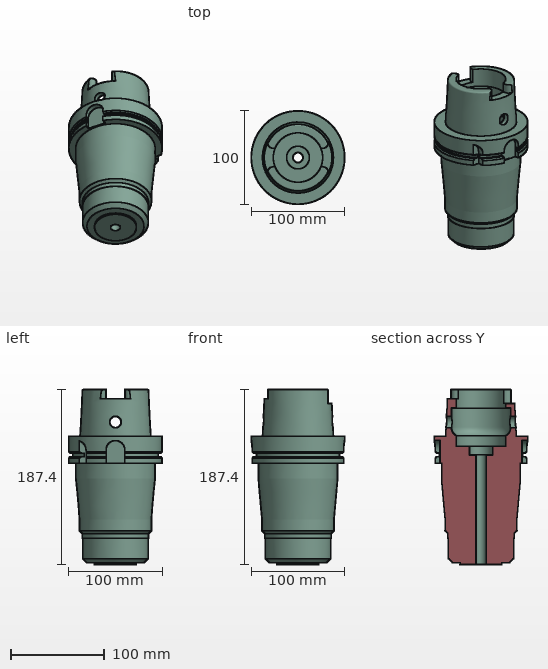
import cadquery as cq
import math

total_height = 187.4
shank_length = 50.0
flange_top = total_height - shank_length
flange_thickness = 29.0
flange_bottom = flange_top - flange_thickness
flange_radius = 50.0

groove_radius = 46.0
groove_top = 119.4
groove_bottom = 115.6
groove_bevel_width = 1.7
groove_upper_bevel_height = 1.3
groove_lower_bevel_height = 1.7

shank_base_radius = 38.0
shank_taper = 1 / 20
shank_tip_radius = shank_base_radius - shank_length * shank_taper
rim_round = 1.9

neck_radius = 42.5
neck_bottom = 92.2
barrel_radius = 38.6
barrel_top = 48.2
barrel_bevel_top = 36.2
collar_radius = 35.6
collar_top = barrel_bevel_top - (barrel_radius - collar_radius)
collar_bottom = 28.1
nose_radius = 35.2
nose_chamfer = 4.7
boss_radius = 22.5
boss_height = 1.9

bore_radius = 26.5
bore_depth = 20.0
undercut_radius = 31.5
undercut_wall_end_depth = 40.7
undercut_blend_radius = 10.0
cup_depth = 60.7
cup_floor = total_height - cup_depth
well_radius = 12.2
well_depth = 9.4
through_radius = 5.2

slot_width = 20.0
lobe_half_length = 32.2
lobe_corner_radius = 5.2
left_slot_depth = 9.7
right_slot_depth = 15.0

cross_hole_radius = 6.0
cross_hole_depth = 34.9
cross_hole_height = total_height - cross_hole_depth

keyway_width = 20.0
keyway_top_gap = 4.7
keyway_top = flange_top - keyway_top_gap
keyway_floor = 44.0
notch_floor = 31.7
notch_wall = 31.5


def revolve_profile(points):
    """Solid of revolution about Z from (radius, height) points."""
    return cq.Workplane("XZ").polyline(points).close().revolve(360, (0, 0, 0), (0, 1, 0))


def make_body():
    bevel_radius = flange_radius - groove_bevel_width
    body = revolve_profile([
        (0, 0),
        (boss_radius, 0),
        (boss_radius, boss_height),
        (nose_radius - nose_chamfer, boss_height),
        (nose_radius, boss_height + nose_chamfer),
        (nose_radius, collar_bottom),
        (collar_radius, collar_bottom),
        (collar_radius, collar_top),
        (barrel_radius, barrel_bevel_top),
        (barrel_radius, barrel_top),
        (neck_radius, neck_bottom),
        (neck_radius, flange_bottom),
        (flange_radius, flange_bottom),
        (flange_radius, groove_bottom - groove_lower_bevel_height),
        (bevel_radius, groove_bottom),
        (groove_radius, groove_bottom),
        (groove_radius, groove_top),
        (bevel_radius, groove_top),
        (flange_radius, groove_top + groove_upper_bevel_height),
        (flange_radius, flange_top),
        (shank_base_radius, flange_top),
        (shank_tip_radius, total_height),
        (0, total_height),
    ])
    return body.faces(">Z").edges().fillet(rim_round)


def make_bore():
    """Undercut cup, well in its floor and the hole through the nose."""
    undercut_top = total_height - bore_depth
    wall_end = total_height - undercut_wall_end_depth
    blend_center = undercut_radius - undercut_blend_radius
    blend_sweep = math.acos((bore_radius - blend_center) / undercut_blend_radius)

    def blend_point(angle):
        return (
            blend_center + undercut_blend_radius * math.cos(angle),
            wall_end - undercut_blend_radius * math.sin(angle),
        )

    well_floor = cup_floor - well_depth
    return (
        cq.Workplane("XZ")
        .lineTo(through_radius, 0)
        .lineTo(through_radius, well_floor)
        .lineTo(well_radius, well_floor)
        .lineTo(well_radius, cup_floor)
        .lineTo(bore_radius, cup_floor)
        .lineTo(*blend_point(blend_sweep))
        .threePointArc(blend_point(blend_sweep / 2), blend_point(0))
        .lineTo(undercut_radius, undercut_top)
        .lineTo(bore_radius, undercut_top)
        .lineTo(bore_radius, total_height)
        .lineTo(0, total_height)
        .close()
        .revolve(360, (0, 0, 0), (0, 1, 0))
    )


def make_drive_slot(side, depth):
    """Cutter for one rim slot; side is -1 or +1 along X."""
    reach = flange_radius
    floor = total_height - depth
    block = cq.Workplane("XY", origin=(side * reach / 2, 0, floor)).rect(reach, 2 * reach).extrude(depth)
    lobe_width = reach - slot_width / 2
    for y_side in (-1, 1):
        lobe_center = y_side * (slot_width + lobe_width) / 2
        lobe = (
            cq.Workplane("XY", origin=(0, lobe_center, floor))
            .rect(2 * lobe_half_length, lobe_width)
            .extrude(depth)
            .edges("|Z")
            .fillet(lobe_corner_radius)
        )
        block = block.cut(lobe)
    return block


def make_keyway(floor_x, center_y):
    """Round-topped cutter running outward along X from the floor plane."""
    radius = keyway_width / 2
    arch_height = keyway_top - radius
    outward = math.copysign(flange_radius, floor_x)
    return (
        cq.Workplane("YZ", origin=(floor_x, center_y, 0))
        .moveTo(-radius, flange_bottom)
        .lineTo(-radius, arch_height)
        .threePointArc((0, keyway_top), (radius, arch_height))
        .lineTo(radius, flange_bottom)
        .close()
        .extrude(outward)
    )


def make_cross_hole():
    return (
        cq.Workplane("YZ", origin=(0, 0, cross_hole_height))
        .circle(cross_hole_radius)
        .extrude(flange_radius, both=True)
    )


result = make_body().cut(make_bore())
result = result.cut(make_drive_slot(-1, left_slot_depth))
result = result.cut(make_drive_slot(1, right_slot_depth))
result = result.cut(make_cross_hole())

for keyway_side in (-1, 1):
    result = result.cut(make_keyway(keyway_side * keyway_floor, 0))
result = result.cut(make_keyway(-notch_floor, notch_wall + keyway_width / 2))